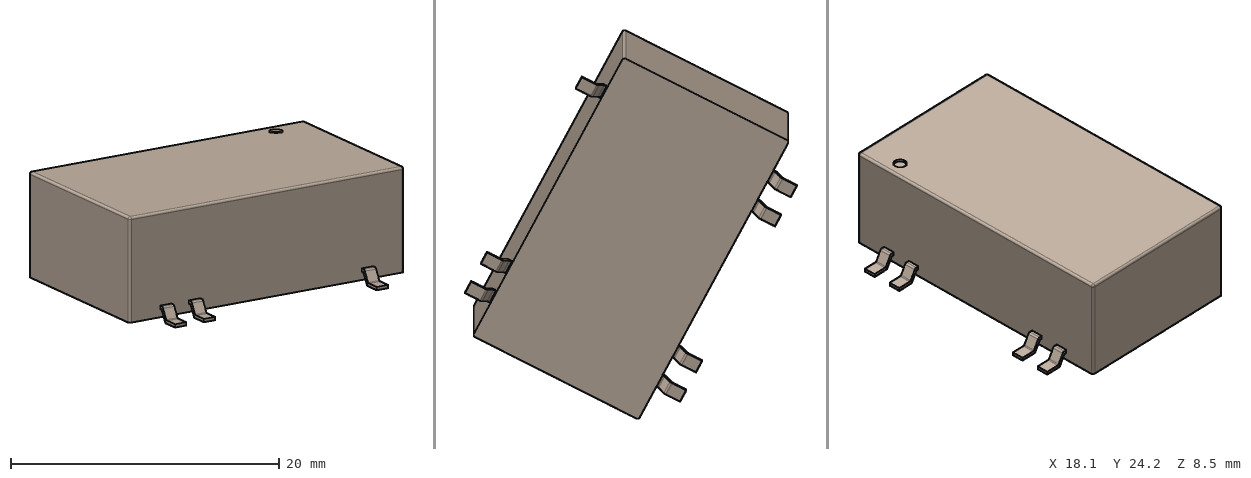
import cadquery as cq
import math

body_length = 24.25
lead_span = 18.1
total_height = 8.5

body_width = 13.95
edge_radius = 0.2
dot_diameter = 1.0
dot_depth = 0.2
dot_x = -5.77

lead_thickness = 0.27
lead_width = 1.0
lead_height = 1.2
shoulder_length = 0.2
outside_bend_radius = 0.2
inside_bend_radius = 0.1
lead_slope = math.radians(60)

lead_pitch = 2.55
inner_lead_y = 6.35
outer_lead_y = inner_lead_y + lead_pitch
left_lead_places = [outer_lead_y, inner_lead_y, -inner_lead_y, -outer_lead_y]
right_lead_places = [outer_lead_y, -inner_lead_y, -outer_lead_y]

body_bottom = lead_thickness
body_height = total_height - body_bottom


def make_housing():
    """Block with rounded upright and top edges and a round pin-one recess in the top."""
    block = (
        cq.Workplane("XY")
        .workplane(offset=body_bottom)
        .rect(body_width, body_length)
        .extrude(body_height)
        .edges("|Z or >Z")
        .fillet(edge_radius)
    )
    dot = (
        cq.Workplane("XY")
        .workplane(offset=total_height - dot_depth)
        .center(dot_x, outer_lead_y)
        .circle(dot_diameter / 2)
        .extrude(dot_depth)
    )
    return block.cut(dot)


def make_lead(side, y):
    """Bent strip on one side (+1 or -1 along X), from the housing wall down to its foot."""
    wall_x = body_width / 2
    tip_x = lead_span / 2
    shoulder_z = lead_height - lead_thickness

    upper_x = wall_x + shoulder_length
    lower_x = upper_x + shoulder_z / math.tan(lead_slope)

    mitre = lead_thickness * math.tan(lead_slope / 2)

    underside = [(wall_x, shoulder_z), (upper_x, shoulder_z), (lower_x, 0), (tip_x, 0)]
    upper_side = [
        (tip_x, lead_thickness),
        (lower_x + mitre, lead_thickness),
        (upper_x + mitre, lead_height),
        (wall_x, lead_height),
    ]
    outline = [(side * x, z) for x, z in underside + upper_side]
    lead = cq.Workplane("XZ").polyline(outline).close().extrude(lead_width / 2, both=True)

    outside_corners = [(upper_x + mitre, lead_height), (lower_x, 0)]
    inside_corners = [(upper_x, shoulder_z), (lower_x + mitre, lead_thickness)]
    for corners, radius in [(outside_corners, outside_bend_radius), (inside_corners, inside_bend_radius)]:
        for x, z in corners:
            lead = lead.edges(cq.NearestToPointSelector((side * x, 0, z))).fillet(radius)
    return lead.translate((0, y, 0))


housing = make_housing()
left_leads = [make_lead(-1, y).val() for y in left_lead_places]
right_leads = [make_lead(1, y).val() for y in right_lead_places]

result = cq.Compound.makeCompound([housing.val(), *left_leads, *right_leads])